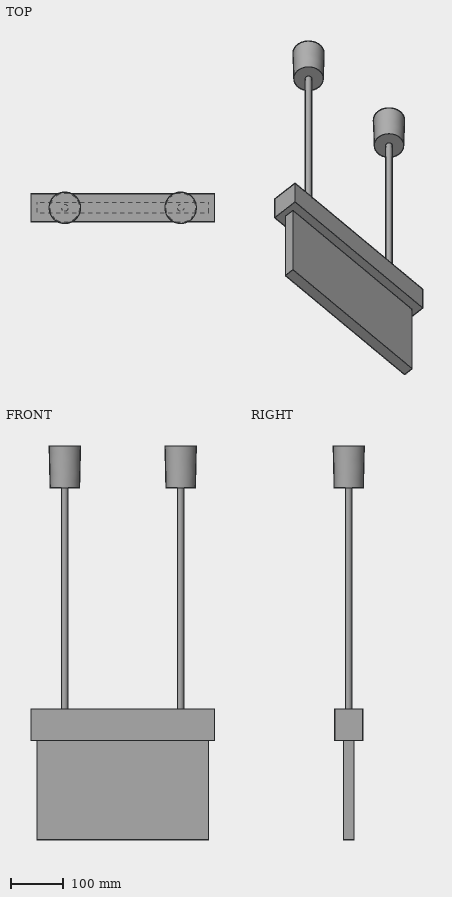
import cadquery as cq

total_height = 749.0

panel_length = 326.5
panel_thickness = 20.0
panel_height = 189.0

bar_length = 350.0
bar_width = 54.0
bar_height = 60.0
bar_top = panel_height + bar_height

rod_diameter = 13.0
rod_spacing = 220.0
cup_top_diameter = 60.0
cup_bottom_diameter = 56.0
cup_height = 80.0
cup_bottom = total_height - cup_height


def block(length, width, height, base_z):
    """Box centred on the Z axis, standing on base_z."""
    return cq.Workplane("XY").box(length, width, height, centered=(True, True, False)).translate((0, 0, base_z))


def suspension(x):
    """Rod and tapered cup revolved as one body about a vertical axis at x."""
    rod_radius = rod_diameter / 2
    profile = (
        cq.Workplane("XZ")
        .moveTo(0, bar_top)
        .lineTo(rod_radius, bar_top)
        .lineTo(rod_radius, cup_bottom)
        .lineTo(cup_bottom_diameter / 2, cup_bottom)
        .lineTo(cup_top_diameter / 2, total_height)
        .lineTo(0, total_height)
        .close()
    )
    return profile.revolve(360, (0, 0, 0), (0, 1, 0)).translate((x, 0, 0))


panel = block(panel_length, panel_thickness, panel_height, 0)
bar = block(bar_length, bar_width, bar_height, panel_height)

result = panel.union(bar)
for side in (-1, 1):
    result = result.union(suspension(side * rod_spacing / 2))